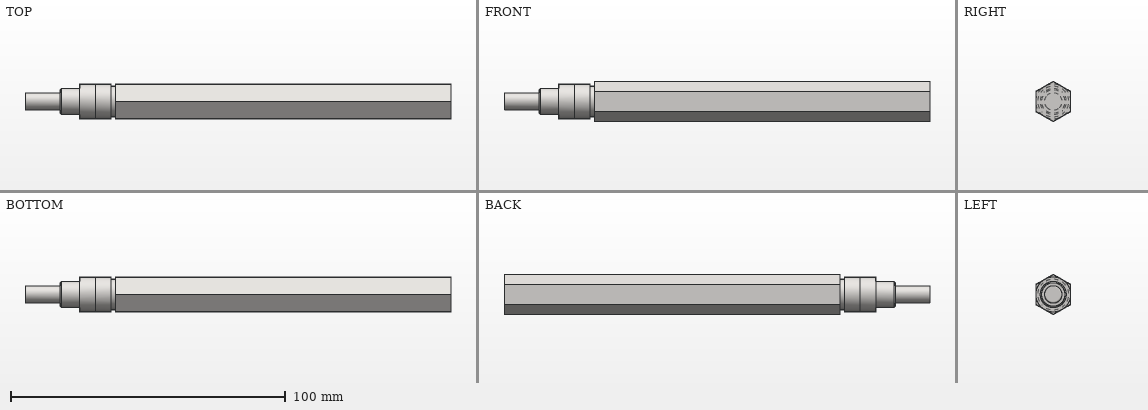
import cadquery as cq
import math

total_length = 154.94
across_flats = 12.7
across_corners = across_flats / math.cos(math.pi / 6)

pin_radius = 6.35 / 2
shoulder_radius = 9.525 / 2
collar_radius = across_flats / 2
neck_radius = 11.2 / 2

shoulder_start = 12.7
collar_start = 19.8
collar_half_length = 5.7
joint_position = collar_start + collar_half_length
neck_start = joint_position + collar_half_length
hex_start = 32.75

pin_fillet = 0.5
shoulder_chamfer = 0.5


def turn(outline):
    """Revolve an outline, closed along the X axis, into a round solid."""
    return outline.close().revolve(360, (0, 0, 0), (1, 0, 0))


def make_tip():
    """Rounded pin, chamfered shoulder and the front half of the collar."""
    outline = (
        cq.Workplane("XZ")
        .lineTo(0, pin_radius - pin_fillet)
        .radiusArc((pin_fillet, pin_radius), pin_fillet)
        .lineTo(shoulder_start, pin_radius)
        .lineTo(shoulder_start, shoulder_radius - shoulder_chamfer)
        .lineTo(shoulder_start + shoulder_chamfer, shoulder_radius)
        .lineTo(collar_start, shoulder_radius)
        .lineTo(collar_start, collar_radius)
        .lineTo(joint_position, collar_radius)
        .lineTo(joint_position, 0)
    )
    return turn(outline)


def make_handle():
    """Rear half of the collar, the neck and the hexagonal bar with corners up and down."""
    outline = (
        cq.Workplane("XZ")
        .moveTo(joint_position, 0)
        .lineTo(joint_position, collar_radius)
        .lineTo(neck_start, collar_radius)
        .lineTo(neck_start, neck_radius)
        .lineTo(hex_start, neck_radius)
        .lineTo(hex_start, 0)
    )
    bar = (
        cq.Workplane("YZ", origin=(hex_start, 0, 0))
        .transformed(rotate=(0, 0, 90))
        .polygon(6, across_corners)
        .extrude(total_length - hex_start)
    )
    return turn(outline).union(bar)


tip = make_tip()
handle = make_handle()

result = cq.Compound.makeCompound([tip.val(), handle.val()])